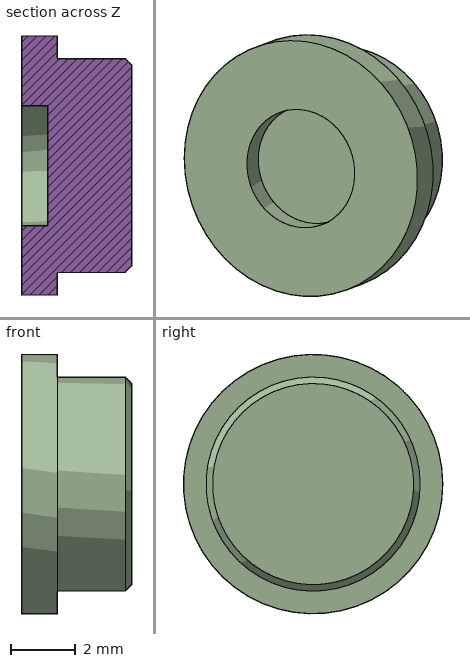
import cadquery as cq

total_length = 3.4
flange_diameter = 8
flange_thickness = 1.1
body_diameter = 6.6
end_chamfer = 0.2
recess_diameter = 3.7
recess_depth = 0.8


def cylinder_along_x(diameter, length):
    """Cylinder on the X axis, running from X = 0 to X = length."""
    return cq.Workplane("YZ").circle(diameter / 2).extrude(length)


body = cylinder_along_x(body_diameter, total_length).faces(">X").edges().chamfer(end_chamfer)

flange = cylinder_along_x(flange_diameter, flange_thickness)
recess = cylinder_along_x(recess_diameter, recess_depth)

result = body.union(flange).cut(recess)